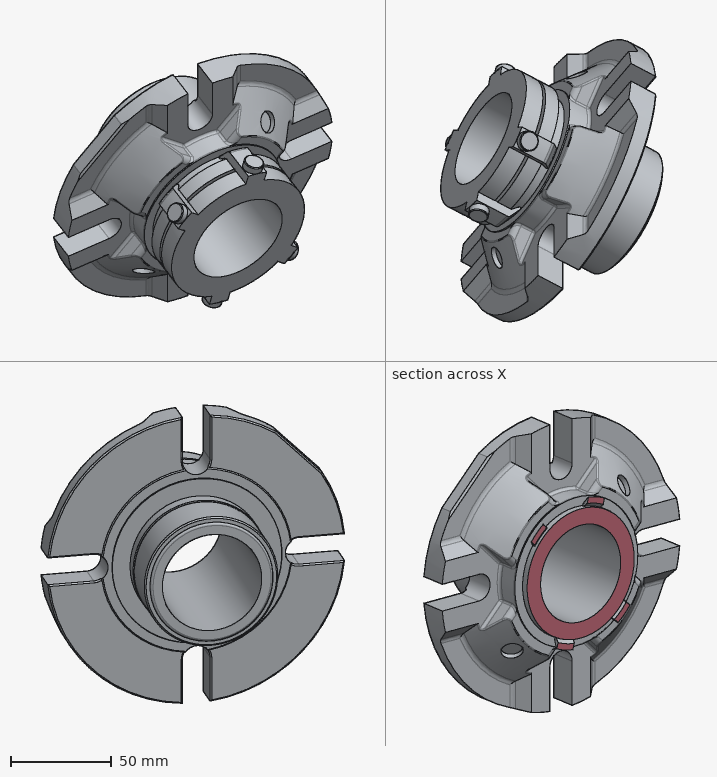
import cadquery as cq
import math

overall_length = 86.5
gland_height = 151.5
side_angles = (0, 90, 180, 270)

bore_diameter = 50.7
nose_diameter = 62.7
nose_length = 1.5
nose_round = 1.2
sleeve_diameter = 68.2
sleeve_chamfer = 0.8
groove_diameter = 66.8
groove_start = 24.2
groove_end = 25.6
neck_diameter = 68.6
collar_diameter = 76.5
collar_start = 67.1
collar_gap_start = 75.0
collar_gap_end = 76.7
collar_gap_diameter = 64.2

gasket_diameter = 86.7
gasket_start = 32.1
spigot_diameter = 97.9
spigot_start = 33.0
flange_front = 33.6
flange_rear = 49.1
front_chamfer = 0.8
flat_distance = 74.2
flat_angle = 135
flat_rear_chamfer = 1.0

slot_width = 14.1
slot_end_radius = 45.3
flange_radius = math.hypot(gland_height / 2, slot_width / 2)

recess_floor = 42.3
pad_half_width = 18.8
recess_round = 3.8

hub_core_radius = 39.2
hub_end = 61.2
lug_half_width = 19.8
lug_end = 60.5
lug_corner_round = 3.3
cone_radius_at_flange = 56.4
cone_slope = 1.05
lug_edge_round = 0.9
hub_blend = 1.5
notch_reach = 63.6

port_diameter = 11.0
port_depth = 2.7
port_x = 54.7
port_angles = (45, 225)

clip_angles = (75, 135, 255, 315)
clip_width = 10.9
clip_outer_radius = 43.5
clip_inner_radius = 38.0
clip_shoulder_x = 67.3
clip_heel_x = 66.5
clip_toe_x = 61.8
clip_toe_radius = 35.5
clip_root_radius = 33.8
clip_bend_round = 2.3
screw_diameter = 10.0
screw_top_radius = 47.3
screw_chamfer = 0.5
screw_seat_radius = (clip_inner_radius + clip_outer_radius) / 2
screw_end_gap = 0.08
screw_x = overall_length - screw_end_gap - screw_diameter / 2


def disc(start, end, diameter):
    """Round disc on the X axis, from X = start to X = end."""
    return cq.Workplane("YZ", origin=(start, 0, 0)).circle(diameter / 2).extrude(end - start)


def block(x_range, y_range, z_range):
    """Box that fills the given ranges."""
    sizes = [high - low for low, high in (x_range, y_range, z_range)]
    corner = (x_range[0], y_range[0], z_range[0])
    return cq.Workplane("XY").box(*sizes, centered=False).translate(corner)


def turned(outline):
    """Solid of revolution about X from (x, radius) points."""
    return cq.Workplane("XY").polyline(outline).close().revolve(360, (0, 0, 0), (1, 0, 0))


def at_angle(shape, angle):
    """Turn a shape built along +Y to the given angle about X."""
    return shape.rotate((0, 0, 0), (1, 0, 0), angle)


def cone_radius(x):
    return cone_radius_at_flange - cone_slope * (x - flange_rear)


def make_cone(start, end):
    """Solid stretch of the hub cone from X = start to X = end."""
    return turned([(start, 0), (start, cone_radius(start)), (end, cone_radius(end)), (end, 0)])


def make_sleeve():
    nose = disc(0, nose_length, nose_diameter).faces("<X").edges().fillet(nose_round)
    front = disc(nose_length, groove_start, sleeve_diameter)
    front = front.faces("<X").edges().chamfer(sleeve_chamfer)
    sleeve = nose.union(front)
    for start, end, diameter in (
        (groove_start, groove_end, groove_diameter),
        (groove_end, collar_start, neck_diameter),
        (collar_start, collar_gap_start, collar_diameter),
        (collar_gap_start, collar_gap_end, collar_gap_diameter),
        (collar_gap_end, overall_length, collar_diameter),
    ):
        sleeve = sleeve.union(disc(start, end, diameter))
    return sleeve


def make_slot():
    """Round-ended slot along +Y, open at the rim."""
    centre = slot_end_radius + slot_width / 2
    round_end = cq.Workplane("YZ").center(centre, 0).circle(slot_width / 2).extrude(flange_rear)
    half = slot_width / 2
    return round_end.union(block((0, flange_rear), (centre, 2 * flange_radius), (-half, half)))


def make_recess():
    """Cutter for the quadrant between +Y and +Z, with walls sloping at 45 degrees."""
    depth = flange_rear - recess_floor
    floor_edge = pad_half_width + depth
    return (
        cq.Workplane("YZ", origin=(recess_floor, floor_edge, floor_edge))
        .rect(flange_radius, flange_radius, centered=False)
        .workplane(offset=depth)
        .center(-depth, -depth)
        .rect(flange_radius + depth, flange_radius + depth, centered=False)
        .loft(ruled=True)
    )


def make_spigot():
    spigot = disc(spigot_start, flange_rear, spigot_diameter)
    spigot = spigot.faces("<X").edges().chamfer(front_chamfer)
    slot = make_slot()
    for angle in side_angles:
        spigot = spigot.cut(at_angle(slot, angle))
    return spigot.union(disc(gasket_start, spigot_start, gasket_diameter))


def make_notch():
    """Notch along +Y between two lugs, open at the rear and outwards, with blended corners."""
    half = notch_reach / 2
    notch = block((flange_rear, lug_end), (lug_half_width, notch_reach), (-half, half))
    notch = notch.cut(disc(flange_rear, lug_end, 2 * hub_core_radius))
    bar = block((flange_rear, lug_end), (0, 2 * notch_reach), (-lug_half_width, lug_half_width))
    bar = bar.faces(">X").edges("|Y").fillet(lug_corner_round)
    for angle in (-45, 45):
        notch = notch.cut(at_angle(bar, angle))
    return notch.edges("|X or (<X)").fillet(hub_blend)


def starts_inside_rim(edge):
    """True when at least one end of the edge lies inside the flange rim."""
    return any(math.hypot(end.Y, end.Z) < flange_radius - recess_round for end in edge.Vertices())


def make_gland_blank():
    """Flange with recesses and a full hub cone, blended where they meet."""
    blank = disc(flange_front, flange_rear, 2 * flange_radius)
    recess = make_recess()
    for angle in side_angles:
        blank = blank.cut(at_angle(recess, angle))
    cone_root = (flange_front + recess_floor) / 2
    blank = blank.union(make_cone(cone_root, lug_end).faces(">X").edges().fillet(lug_edge_round))
    recess_middle = (recess_floor + flange_rear) / 2
    recess_edges = [
        edge
        for edge in blank.edges().vals()
        if flange_front < edge.Center().x <= recess_middle and starts_inside_rim(edge)
    ]
    return blank.newObject(recess_edges).fillet(recess_round)


def cut_notches(gland):
    """Divide the cone into lugs and round the edges between the cone and the notch walls."""
    notch = make_notch()
    for angle in side_angles:
        gland = gland.cut(at_angle(notch, angle))
    lug_edges = [
        edge
        for edge in gland.faces("%CONE").edges().vals()
        if edge.geomType() != "CIRCLE" and edge.Center().x > flange_rear + hub_blend
    ]
    return gland.newObject(lug_edges).fillet(lug_edge_round)


def cut_flat(gland):
    """Cut the flat into the rim."""
    flat_cut = block(
        (0, overall_length), (flat_distance, 2 * flange_radius), (-flange_radius, flange_radius)
    )
    return gland.cut(at_angle(flat_cut, flat_angle))


def make_gland():
    """Flange and hub in one piece."""
    gland = cut_flat(cut_notches(make_gland_blank()))
    slot = make_slot()
    for angle in side_angles:
        gland = gland.cut(at_angle(slot, angle))
    gland = gland.faces("<X").edges().chamfer(front_chamfer)
    flat_middle = flat_distance * math.sqrt(0.5)
    flat_rear_edge = cq.selectors.NearestToPointSelector((recess_floor, -flat_middle, flat_middle))
    gland = gland.edges(flat_rear_edge).chamfer(flat_rear_chamfer)
    return gland.union(disc(flange_rear, hub_end, 2 * hub_core_radius))


def make_port():
    """Blind port square to the cone, in the +Y direction."""
    mouth = cq.Vector(port_x, cone_radius(port_x), 0)
    outward = cq.Vector(cone_slope, 1, 0).normalized()
    base = mouth - outward * port_depth
    return cq.Workplane(cq.Solid.makeCylinder(port_diameter / 2, 2 * port_depth, base, outward))


def make_clip():
    """Clip along +Y: a slice of a turned hook, with a screw head on top."""
    hook = turned(
        [
            (overall_length, clip_inner_radius),
            (overall_length, clip_outer_radius),
            (clip_shoulder_x, clip_outer_radius),
            (clip_toe_x, clip_toe_radius),
            (clip_toe_x, clip_root_radius),
            (clip_heel_x + clip_root_radius - clip_inner_radius, clip_root_radius),
            (clip_heel_x, clip_inner_radius),
        ]
    )
    half = clip_width / 2
    slab = block((0, overall_length), (0, flange_radius), (-half, half))
    clip = hook.intersect(slab)
    shoulder = cq.selectors.NearestToPointSelector((clip_shoulder_x, clip_outer_radius, 0))
    clip = clip.edges(shoulder).fillet(clip_bend_round)
    screw = (
        cq.Workplane("XZ", origin=(screw_x, screw_top_radius, 0))
        .circle(screw_diameter / 2)
        .extrude(screw_top_radius - screw_seat_radius)
        .faces(">Y")
        .chamfer(screw_chamfer)
    )
    return clip.union(screw)


result = make_sleeve().union(make_spigot()).union(make_gland())
port = make_port()
for angle in port_angles:
    result = result.cut(at_angle(port, angle))
clip = make_clip()
for angle in clip_angles:
    result = result.union(at_angle(clip, angle))
result = result.cut(disc(0, overall_length, bore_diameter))